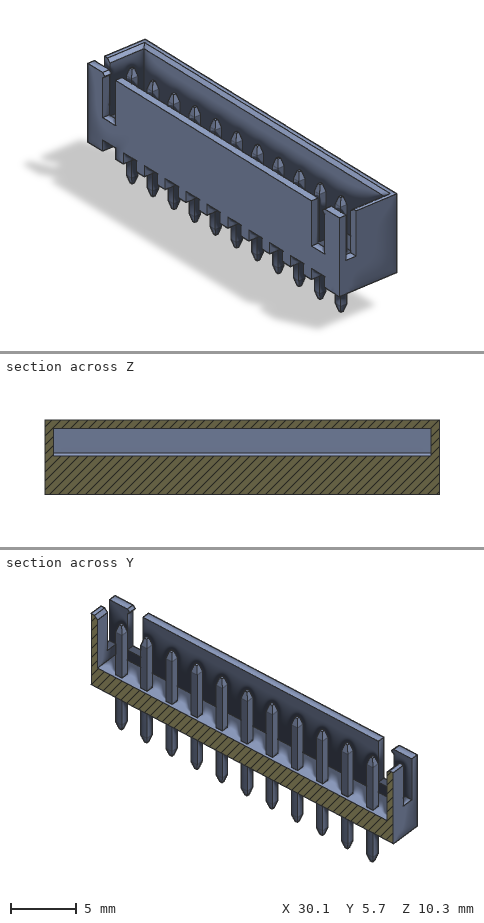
import cadquery as cq

length = 30.1
depth = 5.7
body_height = 6.98
wall = 0.65
floor_height = 2.0
floor_step_y = 2.92
floor_step_run = 0.25
floor_step_drop = 0.63
rim_chamfer = 0.3

pin_count = 11
pin_pitch = 2.5
pin_width = 0.63
pin_tip_width = 0.25
pin_tip_length = 0.7
pin_tail = 3.3
pin_top_gap = 0.12
pin_y = 2.3

slot_depth = 4.0
front_slot_width = 1.55
side_slot_width = 1.0
tooth_size = 0.25
notch_width = 1.57
notch_height = 1.0
notch_run = 1.08

pin_positions = [(i - (pin_count - 1) / 2) * pin_pitch for i in range(pin_count)]


def box(x_center, y_start, z_start, x_size, y_size, z_size):
    """Box centred on x_center, growing towards +Y and +Z from its start."""
    block = cq.Workplane("XY").box(x_size, y_size, z_size, centered=(True, False, False))
    return block.translate((x_center, y_start, z_start))


def make_shell():
    """Open-topped box with a lead-in chamfer on the inside of its back and end rims."""
    inner_length = length - 2 * wall
    inner_depth = depth - 2 * wall
    shell = box(0, 0, 0, length, depth, body_height)
    shell = shell.cut(box(0, wall, floor_height, inner_length, inner_depth, body_height))
    lead_in = (
        cq.Workplane("XY", origin=(0, 0, body_height))
        .rect(inner_length + 2 * rim_chamfer, 2 * (depth - wall + rim_chamfer))
        .workplane(offset=-rim_chamfer)
        .rect(inner_length, 2 * (depth - wall))
        .loft(ruled=True)
    )
    behind_front_wall = box(0, wall, 0, length, depth, body_height)
    return shell.cut(lead_in.intersect(behind_front_wall))


def make_floor_recess():
    """Lower back part of the floor, reached by a sloped step."""
    lower_floor = floor_height - floor_step_drop
    return (
        cq.Workplane("YZ", origin=(wall - length / 2, 0, 0))
        .moveTo(floor_step_y, floor_height)
        .lineTo(depth - wall, floor_height)
        .lineTo(depth - wall, lower_floor)
        .lineTo(floor_step_y + floor_step_run, lower_floor)
        .close()
        .extrude(length - 2 * wall)
    )


def make_side_slots():
    """One slot through both end walls, right behind the front wall."""
    return box(0, wall, body_height - slot_depth, length, side_slot_width, slot_depth)


def make_front_slot(side):
    """Slot through the front wall at an end pin, with a small tooth on its outer edge."""
    slot_x = side * pin_positions[-1]
    outer_edge = slot_x + side * front_slot_width / 2
    slot = box(slot_x, 0, body_height - slot_depth, front_slot_width, wall, slot_depth)
    tooth = (
        cq.Workplane("XZ")
        .moveTo(outer_edge, body_height)
        .lineTo(outer_edge - side * tooth_size, body_height - tooth_size)
        .lineTo(outer_edge, body_height - 2 * tooth_size)
        .close()
        .extrude(-wall)
    )
    return slot.cut(tooth)


def make_notch(x):
    """Wedge cut from the lower front edge, sloping back to the underside."""
    return (
        cq.Workplane("YZ", origin=(x - notch_width / 2, 0, 0))
        .moveTo(0, 0)
        .lineTo(notch_run, 0)
        .lineTo(0, notch_height)
        .close()
        .extrude(notch_width)
    )


def make_pin(x):
    """Square post through the floor, tapered at both tips."""
    top = body_height - pin_top_gap
    shaft_length = top + pin_tail - 2 * pin_tip_length
    shaft_bottom = pin_tip_length - pin_tail
    pin = box(0, -pin_width / 2, shaft_bottom, pin_width, pin_width, shaft_length)
    for face in (">Z", "<Z"):
        tip = (
            pin.faces(face)
            .workplane()
            .rect(pin_width, pin_width)
            .workplane(offset=pin_tip_length)
            .rect(pin_tip_width, pin_tip_width)
            .loft(ruled=True, combine=False)
        )
        pin = pin.union(tip)
    return pin.translate((x, pin_y, 0))


result = make_shell().cut(make_floor_recess()).cut(make_side_slots())
for side in (-1, 1):
    result = result.cut(make_front_slot(side))
for x in pin_positions:
    result = result.cut(make_notch(x))
    result = result.union(make_pin(x))